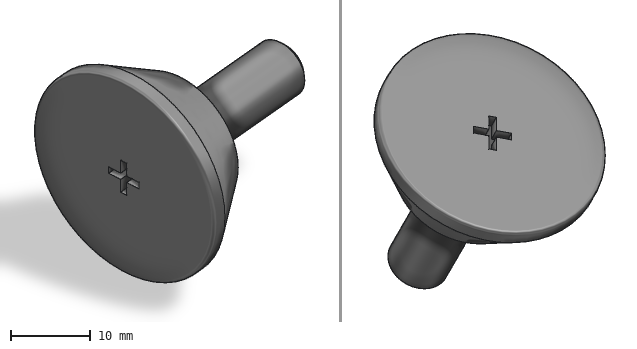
import cadquery as cq

total_length = 31.0
pad_diameter = 30.0
stud_diameter = 8.0

pad_height = 11.0
rim_height = 2.0
neck_diameter = 19.0
rim_fillet = 0.5

tip_chamfer = 0.75

cross_span = 5.0
cross_width = 1.0
cross_depth = 2.0


def make_turned_body():
    """Revolve the half profile of pad and stud around the Y axis."""
    pad_radius = pad_diameter / 2
    stud_radius = stud_diameter / 2
    half_profile = (
        cq.Workplane("XY")
        .moveTo(0, 0)
        .lineTo(pad_radius, 0)
        .lineTo(pad_radius, rim_height)
        .lineTo(neck_diameter / 2, pad_height)
        .lineTo(stud_radius, pad_height)
        .lineTo(stud_radius, total_length)
        .lineTo(0, total_length)
        .close()
    )
    body = half_profile.revolve(360, (0, 0, 0), (0, 1, 0))
    body = body.faces("<Y").edges().fillet(rim_fillet)
    return body.faces(">Y").edges().chamfer(tip_chamfer)


def make_cross_recess():
    """Two crossed bars reaching from the pad face into the pad."""
    centered = (True, False, True)
    flat_bar = cq.Workplane("XY").box(cross_span, cross_depth, cross_width, centered=centered)
    upright_bar = cq.Workplane("XY").box(cross_width, cross_depth, cross_span, centered=centered)
    return flat_bar.union(upright_bar)


result = make_turned_body().cut(make_cross_recess())